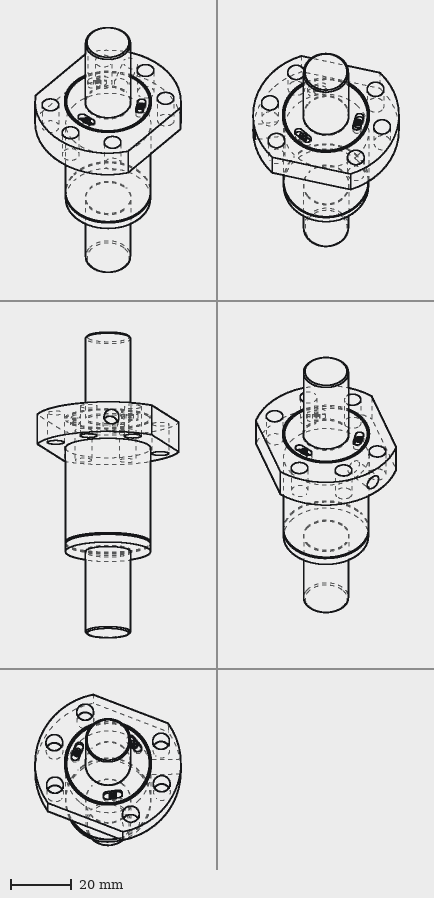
import cadquery as cq
import math

shaft_length = 100.0
shaft_diameter = 14.8
shaft_chamfer = 0.5

nut_length = 45.0
nut_diameter = 28.0
flange_diameter = 48.0
flange_width = 40.0
flange_thickness = 10.0
nut_top = nut_length / 2
nut_bottom = -nut_top
flange_bottom = nut_top - flange_thickness

bolt_hole_diameter = 5.5
bolt_circle_radius = 19.0
bolt_angles = [45, 90, 135, 225, 270, 315]

oil_port_diameter = 4.9
oil_port_angle = (90 + 135) / 2
oil_port_depth = (flange_diameter - nut_diameter) / 2

shaft_gap_diameter = 15.0
shaft_gap_depth = 0.5
face_groove_outer_run = 0.3
face_groove_inner_run = 0.4
face_groove_depth = 0.3
seal_groove_offset = 2.9
seal_groove_height = 0.6
seal_groove_depth = 0.1

slot_length = 6.4
slot_width = 2.6
slot_depth = 2.0
slot_circle_radius = 10.9
slot_angles = [30, 150, 270]
pin_diameter = 2.4
pin_recess = 0.5
cross_length = 1.8
cross_width = 0.4
cross_depth = 0.4
cross_angle = 45


def disc(diameter, bottom, height):
    """Solid cylinder on the Z axis."""
    return cq.Workplane("XY").workplane(offset=bottom).circle(diameter / 2).extrude(height)


def ring(outer_diameter, inner_diameter, bottom, height):
    """Solid of annular section on the Z axis."""
    outline = cq.Workplane("XY").workplane(offset=bottom)
    return outline.circle(outer_diameter / 2).circle(inner_diameter / 2).extrude(height)


def shaft():
    bar = disc(shaft_diameter, -shaft_length / 2, shaft_length)
    return bar.faces("<Z or >Z").chamfer(shaft_chamfer)


def shaft_gap(bottom):
    """Narrow annular gap between the nut bore and the shaft."""
    return ring(shaft_gap_diameter, shaft_diameter, bottom, shaft_gap_depth)


def flange():
    plate = disc(flange_diameter, flange_bottom, flange_thickness)
    flats = cq.Workplane("XY").box(flange_width, flange_diameter, nut_length)
    return plate.intersect(flats)


def bolt_holes():
    centres = []
    for angle in bolt_angles:
        turn = math.radians(angle)
        centres.append((bolt_circle_radius * math.cos(turn), bolt_circle_radius * math.sin(turn)))
    plane = cq.Workplane("XY").workplane(offset=flange_bottom)
    return plane.pushPoints(centres).circle(bolt_hole_diameter / 2).extrude(flange_thickness)


def oil_port():
    port = cq.Workplane("YZ").workplane(offset=flange_diameter / 2 - oil_port_depth)
    port = port.center(0, nut_top - flange_thickness / 2)
    port = port.circle(oil_port_diameter / 2).extrude(oil_port_depth)
    return port.rotate((0, 0, 0), (0, 0, 1), oil_port_angle)


def face_groove():
    """V-shaped groove where the nut body meets the flange."""
    middle_radius = nut_diameter / 2
    profile = cq.Workplane("XZ").moveTo(middle_radius + face_groove_outer_run, nut_top)
    profile = profile.lineTo(middle_radius, nut_top - face_groove_depth)
    profile = profile.lineTo(middle_radius - face_groove_inner_run, nut_top).close()
    return profile.revolve(360, (0, 0, 0), (0, 1, 0))


def seal_groove():
    """Shallow V-shaped groove around the nut body."""
    radius = nut_diameter / 2
    middle = nut_bottom + seal_groove_offset
    profile = cq.Workplane("XZ").moveTo(radius, middle + seal_groove_height / 2)
    profile = profile.lineTo(radius - seal_groove_depth, middle)
    profile = profile.lineTo(radius, middle - seal_groove_height / 2).close()
    return profile.revolve(360, (0, 0, 0), (0, 1, 0))


def cross_recess(angle):
    """Cross cut into the pin head, its arms turned to the given angle."""
    height = cross_depth + pin_recess
    plane = cq.Workplane("XY").workplane(offset=nut_top - height)
    plane = plane.center(slot_circle_radius, 0).transformed(rotate=(0, 0, angle))
    arm = plane.rect(cross_length, cross_width).extrude(height)
    return arm.union(plane.rect(cross_width, cross_length).extrude(height))


def slot(angle):
    floor = cq.Workplane("XY").workplane(offset=nut_top - slot_depth).center(slot_circle_radius, 0)
    pocket = floor.slot2D(slot_length, slot_width, 90).extrude(slot_depth)
    pin = floor.circle(pin_diameter / 2).extrude(slot_depth - pin_recess)
    pin = pin.cut(cross_recess(cross_angle))
    return pocket.cut(pin).rotate((0, 0, 0), (0, 0, 1), angle)


nut = disc(nut_diameter, nut_bottom, nut_length).union(flange())
result = nut.union(shaft())
result = result.cut(shaft_gap(nut_top - shaft_gap_depth)).cut(shaft_gap(nut_bottom))
result = result.cut(bolt_holes()).cut(oil_port()).cut(face_groove()).cut(seal_groove())
for slot_angle in slot_angles:
    result = result.cut(slot(slot_angle))